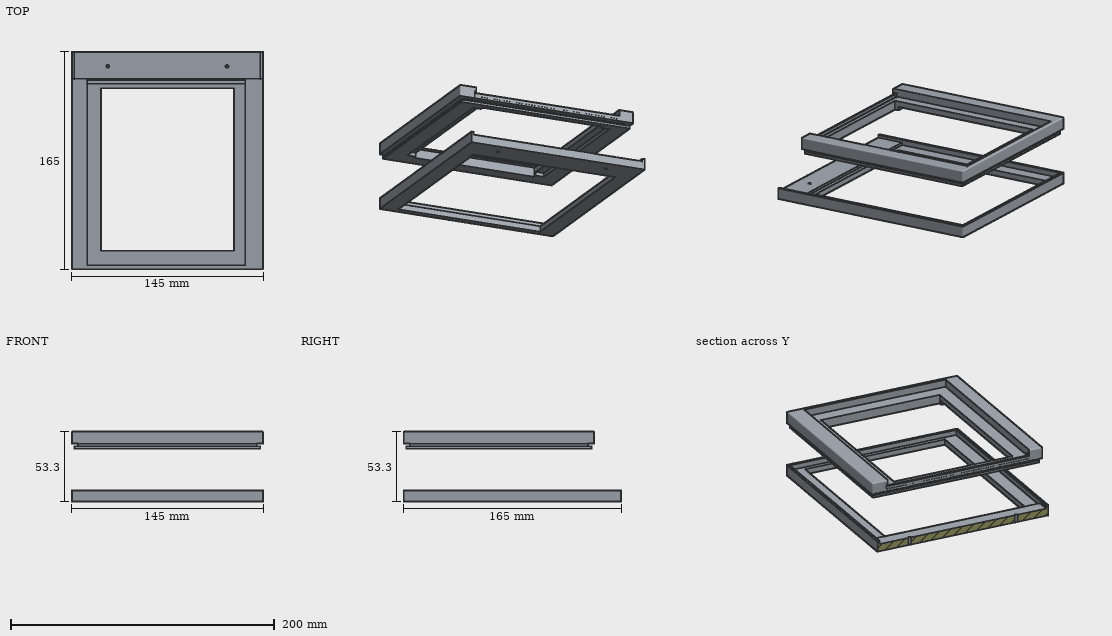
import cadquery as cq

WIDTH = 145.0
LENGTH = 165.0
HEIGHT = 53.3
EDGE_RADIUS = 1.0

BASE_HEIGHT = 8.5
WALL = 2.0
FLOOR_THICKNESS = 4.5
SHELF_HEIGHT = 6.5
SHELF_DEPTH = 21.5
BASE_SIDE_LEDGE = 11.2
BASE_END_LEDGE = 3.5
HOLE_DIAMETER = 2.0
HOLE_SPACING = 90.5
HOLE_TO_BACK = 11.0

LID_LENGTH = 144.5
BODY_HEIGHT = 9.2
NECK_HEIGHT = 2.0
NECK_INSET = 4.6
FLANGE_HEIGHT = 2.0
FLANGE_INSET = 2.0
CHANNEL_WIDTH = 120.0
CHANNEL_SHIFT = -1.0
CHANNEL_DEPTH = 6.0
CHANNEL_FRONT_RIM = 3.3
BACK_LIP_WIDTH = 1.0
BACK_LIP_RISE = 1.0
GROOVE_WIDTH = 2.6
GROOVE_DEPTH = 1.5
SLOT_REACH = 1.0
SLOT_RISE = 2.5
WINDOW_WIDTH = 100.6
WINDOW_FRONT = 14.2
WINDOW_BACK = 7.3
POCKET_DEPTH = 3.0
POCKET_MARGIN = 6.6
POCKET_BACK_LIP = 3.0

lid_bottom = HEIGHT - BODY_HEIGHT - NECK_HEIGHT - FLANGE_HEIGHT
channel_floor = HEIGHT - CHANNEL_DEPTH


def block(width, y_front, y_back, z_bottom, z_top):
    """Box centred on X between the given Y and Z limits."""
    return (
        cq.Workplane("XY")
        .box(width, y_back - y_front, z_top - z_bottom, centered=(True, False, False))
        .translate((0, y_front, z_bottom))
    )


def make_base():
    """Open-backed tray with a raised rear shelf and a window."""
    inner_width = WIDTH - 2 * WALL
    shelf_front = LENGTH - SHELF_DEPTH
    base = block(WIDTH, 0, LENGTH, 0, BASE_HEIGHT)
    base = base.edges("|Z and <Y").fillet(EDGE_RADIUS)

    base = base.cut(block(inner_width, WALL, shelf_front, FLOOR_THICKNESS, BASE_HEIGHT))
    base = base.cut(block(inner_width, shelf_front, LENGTH, SHELF_HEIGHT, BASE_HEIGHT))

    window_width = inner_width - 2 * BASE_SIDE_LEDGE
    window_front = WALL + BASE_END_LEDGE
    window_back = shelf_front - BASE_END_LEDGE
    base = base.cut(block(window_width, window_front, window_back, 0, FLOOR_THICKNESS))

    hole_y = LENGTH - HOLE_TO_BACK
    hole_points = [(side * HOLE_SPACING / 2, hole_y) for side in (-1, 1)]
    holes = cq.Workplane("XY").pushPoints(hole_points).circle(HOLE_DIAMETER / 2).extrude(SHELF_HEIGHT)
    return base.cut(holes)


def make_lid_blank():
    """Rounded square plate on a stepped neck and flange."""
    flange_top = lid_bottom + FLANGE_HEIGHT
    body_bottom = flange_top + NECK_HEIGHT
    body = block(WIDTH, 0, LID_LENGTH, body_bottom, HEIGHT)
    body = body.edges("|Z").fillet(EDGE_RADIUS).faces(">Z").edges().fillet(EDGE_RADIUS)
    neck = block(WIDTH - 2 * NECK_INSET, NECK_INSET, LID_LENGTH - NECK_INSET, flange_top, body_bottom)
    flange = block(
        WIDTH - 2 * FLANGE_INSET, FLANGE_INSET, LID_LENGTH - FLANGE_INSET, lid_bottom, flange_top
    )
    return body.union(neck).union(flange)


def make_lid():
    """Frame with a wide top channel, a low back lip, a groove and a window."""
    lip_front = LID_LENGTH - BACK_LIP_WIDTH
    lip_top = channel_floor + BACK_LIP_RISE
    groove_front = lip_front - GROOVE_WIDTH
    groove_floor = channel_floor - GROOVE_DEPTH
    window_back = LID_LENGTH - WINDOW_BACK

    lid = make_lid_blank()
    slot_width = CHANNEL_WIDTH + 2 * SLOT_REACH
    slot_top = channel_floor + SLOT_RISE

    channel = block(CHANNEL_WIDTH, CHANNEL_FRONT_RIM, lip_front, channel_floor, HEIGHT)
    lip_clearance = block(CHANNEL_WIDTH, lip_front, LID_LENGTH, lip_top, HEIGHT)
    slot = block(slot_width, groove_front, lip_front, groove_floor, slot_top)
    for cutter in (channel, lip_clearance, slot):
        lid = lid.cut(cutter.translate((CHANNEL_SHIFT, 0, 0)))

    lid = lid.cut(block(WINDOW_WIDTH, WINDOW_FRONT, window_back, lid_bottom, channel_floor))

    pocket_width = WINDOW_WIDTH + 2 * POCKET_MARGIN
    pocket_front = WINDOW_FRONT + POCKET_BACK_LIP
    pocket_back = window_back - POCKET_BACK_LIP
    return lid.cut(block(pocket_width, pocket_front, pocket_back, lid_bottom, lid_bottom + POCKET_DEPTH))


base = make_base()
lid = make_lid()
result = cq.Compound.makeCompound([base.val(), lid.val()])